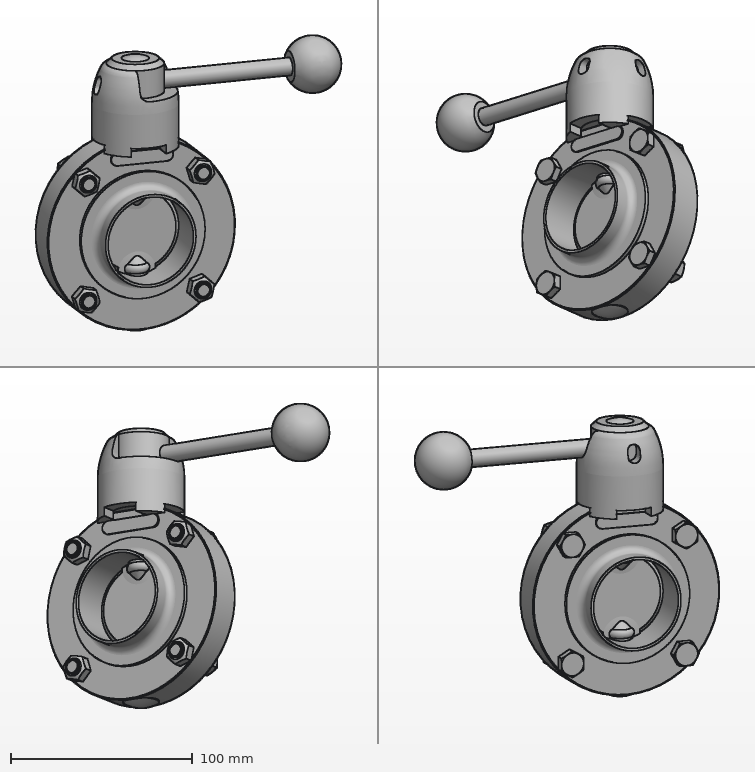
import cadquery as cq
import math


pipe_length = 50.0
pipe_outer_radius = 53.0 / 2
pipe_bore_radius = 50.0 / 2
flange_radius = 55.0
flange_width = 20.4
flange_chamfer = 0.6
flange_top_z = 53.0
collar_radius = 72.5 / 2
collar_half_width = 12.75
neck_fillet_x = 17.2
neck_root_radius = 30.4

pad_length = 36.2
pad_height = 7.5
pad_bottom_z = 40.6
pad_width = 22.7

dome_radius = 10.0
dome_base_z = -50.0
dome_edge_z = -54.6
dome_bottom_z = -57.49

bolt_count = 4
bolt_offset = 33.55
bolt_diameter = 8.0
wrench_size = 13.0
head_height = 5.0
head_chamfer_height = 0.4
nut_height = 6.5
nut_chamfer_height = 1.4
nut_end_radius = 5.0
bolt_end_x = 18.0
bolt_end_chamfer = 0.5
head_turn = 45.0
nut_turn = 2.0

disc_half_thickness = 2.5
disc_rim_half_thickness = 1.2
disc_face_radius = 22.9
disc_root_radius = 26.0
pin_radius = 14.2 / 2
pin_neck_z = 23.5
pin_bulge_radius = 7.9
pin_bulge_z = 21.3
pin_cone_radius = 6.3
pin_cone_z = 18.8
pin_tip_z = 11.0
boss_radius = 11.1
boss_center_z = 23.2
boss_rise = 0.8
boss_shoulder_rise = 0.6

lever_z = 84.3
lever_radius = 5.0
ball_radius = 16.0
ball_y = 103.74
ball_flat_y = 90.3
hub_radius = 16.0
hub_shoulder_z = 95.2
hub_top_z = 98.0
hub_top_radius = 13.0
button_radius = 7.6
button_top_z = 99.7
detent_radius = 6.2 / 2
detent_tip_radius = 3.0 / 2
detent_cone_length = 1.6
detent_end = 19.0

cap_radius = 24.0
cap_bottom_z = pad_bottom_z + pad_height
cap_taper_z = 72.3
cap_shoulder_radius = 19.3
cap_shoulder_z = 92.3
notch_width = flange_width
lever_slot_radius = 5.1
detent_slot_width = 7.32
detent_slot_height = 10.0


def cylinder_x(radius, x_start, x_end):
    return cq.Workplane("YZ", origin=(x_start, 0, 0)).circle(radius).extrude(x_end - x_start)


def revolve_z(outline):
    return outline.close().revolve(360, (0, 0, 0), (0, 1, 0))


def revolve_x(outline):
    return outline.close().revolve(360, (0, 0, 0), (1, 0, 0))



def pipe_end():
    """Half of the pipe with its collar, on the +X side, as a solid of revolution."""
    fillet_middle = math.sqrt(0.5)
    fillet_x = neck_fillet_x - collar_half_width
    fillet_r = neck_root_radius - pipe_outer_radius
    outline = (
        cq.Workplane("XY")
        .lineTo(0, collar_radius)
        .lineTo(collar_half_width, collar_radius)
        .lineTo(collar_half_width, neck_root_radius)
        .threePointArc(
            (neck_fillet_x - fillet_x * fillet_middle, neck_root_radius - fillet_r * fillet_middle),
            (neck_fillet_x, pipe_outer_radius),
        )
        .lineTo(pipe_length / 2, pipe_outer_radius)
        .lineTo(pipe_length / 2, 0)
    )
    return revolve_x(outline)


def flange():
    half = flange_width / 2
    plate = cylinder_x(flange_radius, -half, half)
    above_top = cq.Workplane("XY", origin=(0, 0, flange_top_z)).rect(
        2 * flange_radius, 2 * flange_radius
    ).extrude(flange_radius)
    return plate.cut(above_top).faces("<X or >X").edges().chamfer(flange_chamfer)


def side_pads():
    return (
        cq.Workplane("YZ", origin=(-pad_width / 2, 0, pad_bottom_z + pad_height / 2))
        .slot2D(pad_length, pad_height)
        .extrude(pad_width)
    )


def bottom_dome():
    sag = dome_edge_z - dome_bottom_z
    sphere_radius = (dome_radius**2 + sag**2) / (2 * sag)
    half_radius = dome_radius / 2
    sphere_z = dome_bottom_z + sphere_radius
    outline = (
        cq.Workplane("XZ")
        .moveTo(0, dome_base_z)
        .lineTo(dome_radius, dome_base_z)
        .lineTo(dome_radius, dome_edge_z)
        .threePointArc(
            (half_radius, sphere_z - math.sqrt(sphere_radius**2 - half_radius**2)),
            (0, dome_bottom_z),
        )
    )
    return revolve_z(outline)


def hexagon(height, turn):
    corner_diameter = wrench_size / math.cos(math.pi / 6)
    return (
        cq.Workplane("YZ")
        .polygon(6, corner_diameter)
        .extrude(height)
        .rotate((0, 0, 0), (1, 0, 0), turn)
    )


def chamfer_cone(height, chamfer_height, end_radius):
    """Turned envelope that bevels the corners of a hexagon at its outer end."""
    corner_radius = wrench_size / 2 / math.cos(math.pi / 6)
    outline = (
        cq.Workplane("XY")
        .lineTo(0, corner_radius)
        .lineTo(height - chamfer_height, corner_radius)
        .lineTo(height, end_radius)
        .lineTo(height, 0)
    )
    return revolve_x(outline)


def bolt():
    """Bolt and nut on the +Y side of the X axis."""
    face = flange_width / 2
    head = hexagon(head_height, head_turn).intersect(
        chamfer_cone(head_height, head_chamfer_height, wrench_size / 2)
    )
    nut = hexagon(nut_height, nut_turn).intersect(
        chamfer_cone(nut_height, nut_chamfer_height, nut_end_radius)
    )
    shank = cylinder_x(bolt_diameter / 2, -face, bolt_end_x).faces(">X").chamfer(bolt_end_chamfer)
    return (
        shank.union(head.rotate((0, 0, 0), (0, 0, 1), 180).translate((-face, 0, 0)))
        .union(nut.translate((face, 0, 0)))
        .translate((0, bolt_offset * math.sqrt(2), 0))
    )


def disc_plate():
    """Flat disc with a bevelled rim let into the bore wall."""
    outline = (
        cq.Workplane("XY")
        .moveTo(-disc_half_thickness, 0)
        .lineTo(-disc_half_thickness, disc_face_radius)
        .lineTo(-disc_rim_half_thickness, pipe_bore_radius)
        .lineTo(-disc_rim_half_thickness, disc_root_radius)
        .lineTo(disc_rim_half_thickness, disc_root_radius)
        .lineTo(disc_rim_half_thickness, pipe_bore_radius)
        .lineTo(disc_half_thickness, disc_face_radius)
        .lineTo(disc_half_thickness, 0)
    )
    return revolve_x(outline)


def disc_pin():
    """Upper bearing pin of the disc: a cone, a rounded bulge and a cylinder into the bore wall."""
    outline = (
        cq.Workplane("XZ")
        .moveTo(0, pin_tip_z)
        .lineTo(pin_cone_radius, pin_cone_z)
        .threePointArc((pin_bulge_radius, pin_bulge_z), (pin_radius, pin_neck_z))
        .lineTo(pin_radius, pipe_bore_radius)
        .lineTo(0, pipe_bore_radius)
    )
    return revolve_z(outline)


def disc_boss():
    """Low domed boss around the upper pin, alike on both faces of the disc."""
    crown_x = disc_half_thickness + boss_rise
    shoulder_x = disc_half_thickness + boss_shoulder_rise
    outline = (
        cq.Workplane("XY")
        .moveTo(-crown_x, 0)
        .threePointArc((-shoulder_x, boss_radius / 2), (-disc_half_thickness, boss_radius))
        .lineTo(disc_half_thickness, boss_radius)
        .threePointArc((shoulder_x, boss_radius / 2), (crown_x, 0))
    )
    return revolve_x(outline).translate((0, 0, boss_center_z))


def make_valve():
    right_end = pipe_end()
    shell = flange().union(right_end).union(right_end.mirror("YZ")).union(side_pads())
    shell = shell.union(bottom_dome())
    shell = shell.cut(cylinder_x(pipe_bore_radius, -pipe_length / 2, pipe_length / 2))
    for index in range(bolt_count):
        angle = (index + 0.5) * 360 / bolt_count
        shell = shell.union(bolt().rotate((0, 0, 0), (1, 0, 0), angle))
    upper_pin = disc_pin().union(disc_boss())
    disc = disc_plate().union(upper_pin).union(upper_pin.mirror("XY"))
    return shell.union(disc)



def hub():
    sag = button_top_z - hub_top_z
    sphere_radius = (button_radius**2 + sag**2) / (2 * sag)
    half_radius = button_radius / 2
    sphere_z = button_top_z - sphere_radius
    outline = (
        cq.Workplane("XZ")
        .moveTo(0, flange_top_z)
        .lineTo(hub_radius, flange_top_z)
        .lineTo(hub_radius, hub_shoulder_z)
        .lineTo(hub_top_radius, hub_top_z)
        .lineTo(button_radius, hub_top_z)
        .threePointArc(
            (half_radius, sphere_z + math.sqrt(sphere_radius**2 - half_radius**2)),
            (0, button_top_z),
        )
    )
    return revolve_z(outline)


def rod_and_ball():
    rod = cq.Workplane("XZ", origin=(0, 0, lever_z)).circle(lever_radius).extrude(-ball_y)
    ball = cq.Workplane("XY").sphere(ball_radius).translate((0, ball_y, lever_z))
    inner_side = cq.Workplane("XZ", origin=(0, ball_flat_y, lever_z)).circle(ball_radius).extrude(ball_radius)
    return rod.union(ball.cut(inner_side))


def detent_tip():
    """Cone-ended tip that points to -Y and locks into a slot of the cap."""
    outline = (
        cq.Workplane("XY", origin=(0, 0, lever_z))
        .lineTo(detent_radius, 0)
        .lineTo(detent_radius, detent_cone_length - detent_end)
        .lineTo(detent_tip_radius, -detent_end)
        .lineTo(0, -detent_end)
    )
    return revolve_z(outline)


def make_lever():
    return hub().union(rod_and_ball()).union(detent_tip())



def cap_shell():
    drop = cap_radius - cap_shoulder_radius
    rise = cap_shoulder_z - cap_taper_z
    arc_radius = (rise**2 + drop**2) / (2 * drop)
    half_rise = rise / 2
    side_middle_radius = cap_radius - arc_radius + math.sqrt(arc_radius**2 - half_rise**2)
    outline = (
        cq.Workplane("XZ")
        .moveTo(hub_radius, cap_bottom_z)
        .lineTo(cap_radius, cap_bottom_z)
        .lineTo(cap_radius, cap_taper_z)
        .threePointArc((side_middle_radius, cap_taper_z + half_rise), (cap_shoulder_radius, cap_shoulder_z))
        .tangentArcPoint((hub_radius, hub_shoulder_z), relative=False)
    )
    return revolve_z(outline)


def flange_notches():
    height = flange_top_z - cap_bottom_z
    along_y = (
        cq.Workplane("XY", origin=(0, 0, cap_bottom_z))
        .rect(notch_width, 2 * cap_radius)
        .extrude(height)
    )
    return along_y.union(along_y.rotate((0, 0, 0), (0, 0, 1), 90))


def lever_slot_end():
    """Round-bottomed slot along +Y, open at the top."""
    slot = cq.Workplane("XZ", origin=(0, 0, lever_z)).circle(lever_slot_radius).extrude(-cap_radius)
    opening = (
        cq.Workplane("XY", origin=(0, cap_radius / 2, lever_z))
        .rect(2 * lever_slot_radius, cap_radius)
        .extrude(cap_radius)
    )
    return slot.union(opening)


def lever_slot():
    """Quarter-turn opening that lets the lever swing from +Y to +X."""
    sweep = (
        cq.Workplane("XY", origin=(0, 0, lever_z - lever_slot_radius))
        .rect(2 * cap_radius, 2 * cap_radius, centered=False)
        .extrude(cap_radius)
    )
    slot_end = lever_slot_end()
    return sweep.union(slot_end).union(slot_end.rotate((0, 0, 0), (0, 0, 1), -90))


def detent_slot():
    """Upright slot through the -Y wall."""
    return (
        cq.Workplane("XZ", origin=(0, 0, lever_z))
        .slot2D(detent_slot_height, detent_slot_width, 90)
        .extrude(cap_radius)
    )


def make_cap():
    slot = detent_slot()
    cap = cap_shell().cut(flange_notches()).cut(lever_slot())
    return cap.cut(slot).cut(slot.rotate((0, 0, 0), (0, 0, 1), -90))


valve = make_valve()
lever = make_lever()
cap = make_cap()

result = cq.Compound.makeCompound([valve.solids().val(), lever.solids().val(), cap.solids().val()])